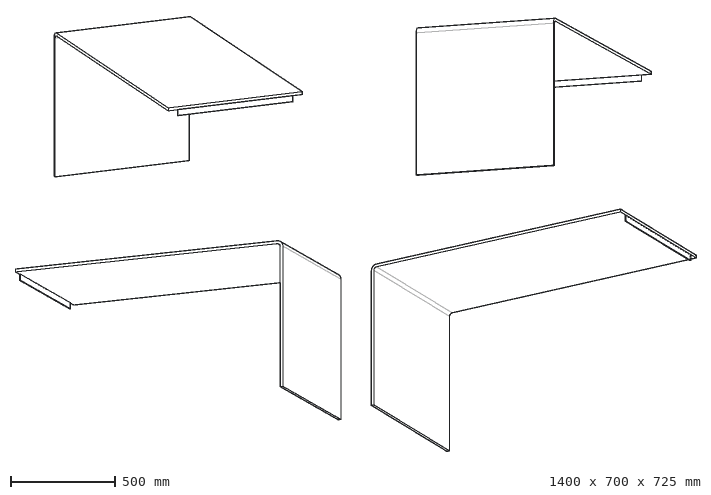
import cadquery as cq

LENGTH = 1400.0
WIDTH = 700.0
HEIGHT = 725.0

PANEL_THICKNESS = 15.0
BEND_INNER_RADIUS = 15.0
BEND_OUTER_RADIUS = BEND_INNER_RADIUS + PANEL_THICKNESS

STRIP_THICKNESS = 5.0
STRIP_DROP = 30.0
STRIP_SIDE_INSET = 50.0
STRIP_WIDTH = WIDTH - 2 * STRIP_SIDE_INSET

UNDERSIDE_Z = HEIGHT - PANEL_THICKNESS


def make_panel():
    """Upright leg and horizontal top, joined by a round bend of constant thickness."""
    block = cq.Workplane("XY").box(LENGTH, WIDTH, HEIGHT, centered=(False, True, False))
    block = block.edges("<X and >Z").fillet(BEND_OUTER_RADIUS)
    open_space = (
        cq.Workplane("XY")
        .box(LENGTH - PANEL_THICKNESS, WIDTH, UNDERSIDE_Z, centered=(False, True, False))
        .translate((PANEL_THICKNESS, 0, 0))
        .edges("<X and >Z")
        .fillet(BEND_INNER_RADIUS)
    )
    return block.cut(open_space)


def make_end_strip():
    """Thin flat strip under the top, flush with its free end and clear of both sides."""
    return (
        cq.Workplane("XY")
        .box(STRIP_THICKNESS, STRIP_WIDTH, STRIP_DROP, centered=(False, True, False))
        .translate((LENGTH - STRIP_THICKNESS, 0, UNDERSIDE_Z - STRIP_DROP))
    )


panel = make_panel()
end_strip = make_end_strip()

result = cq.Compound.makeCompound([panel.val(), end_strip.val()])